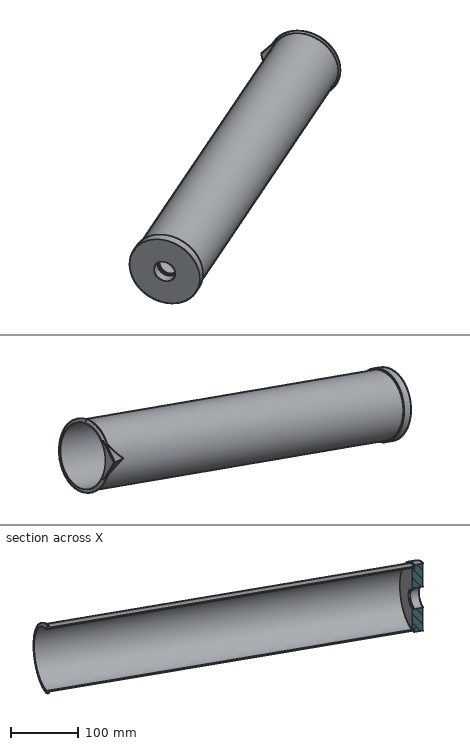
import cadquery as cq

LENGTH = 598.5
BOTTOM_Y = -LENGTH / 2
TOP_Y = LENGTH / 2

TUBE_DIAMETER = 106.5
BORE_DIAMETER = 100.5
RIM_DIAMETER = 112.0
BEAD_RADIUS = (RIM_DIAMETER - TUBE_DIAMETER) / 2

SPOUT_REACH = 69.75
SPOUT_ROOT = 45.0
SPOUT_LIP = 2.5
SPOUT_DROP = 30.5
SPOUT_FLARE = 1.2

CAP_DIAMETER = 111.5
CAP_HEIGHT = 14.0
PLUG_DIAMETER = 99.5
PLUG_HEIGHT = 4.0
HOLE_DIAMETER = 33.5
INNER_HOLE_DIAMETER = 29.0
HOLE_DEPTH = 15.0


def disc(diameter, start_y, height):
    """Cylinder around the Y axis, running from start_y towards +Y."""
    axis_start = cq.Vector(0, start_y, 0)
    return cq.Workplane(cq.Solid.makeCylinder(diameter / 2, height, axis_start, cq.Vector(0, 1, 0)))


def make_spout():
    """Pyramid below a thin lip; its ridge slopes from the tip down to the tube wall."""
    drop_per_reach = SPOUT_DROP / (SPOUT_REACH - TUBE_DIAMETER / 2)
    length = SPOUT_REACH - SPOUT_ROOT
    half_width = length * SPOUT_FLARE
    lip_y = TOP_Y - SPOUT_LIP
    tip = cq.Vector(-SPOUT_REACH, lip_y, 0)
    foot = cq.Vector(-SPOUT_ROOT, lip_y - length * drop_per_reach, 0)
    left = cq.Vector(-SPOUT_ROOT, lip_y, half_width)
    right = cq.Vector(-SPOUT_ROOT, lip_y, -half_width)
    triangles = [(tip, left, right), (tip, foot, left), (tip, right, foot), (foot, right, left)]
    faces = [cq.Face.makeFromWires(cq.Wire.makePolygon(corners, close=True)) for corners in triangles]
    pyramid = cq.Workplane(cq.Solid.makeSolid(cq.Shell.makeShell(faces)))
    lip = cq.Workplane(cq.Solid.extrudeLinear(faces[0].outerWire(), [], cq.Vector(0, SPOUT_LIP, 0)))
    return pyramid.union(lip)


def make_bead():
    """Round bead that follows the rim, centred on the outer face of the tube wall."""
    centre = cq.Vector(0, TOP_Y - BEAD_RADIUS, 0)
    return cq.Workplane(cq.Solid.makeTorus(TUBE_DIAMETER / 2, BEAD_RADIUS, centre, cq.Vector(0, 1, 0)))


def make_tube():
    """Open tube with a beaded rim and a spout, standing on the cap."""
    tube_start = BOTTOM_Y + CAP_HEIGHT
    tube_length = LENGTH - CAP_HEIGHT
    wall = disc(TUBE_DIAMETER, tube_start, tube_length)
    bore = disc(BORE_DIAMETER, tube_start, tube_length)
    return wall.union(make_bead()).union(make_spout()).cut(bore)


def make_cap():
    """Disc with a plug that enters the bore, and a stepped hole through both."""
    total_height = CAP_HEIGHT + PLUG_HEIGHT
    cap = disc(CAP_DIAMETER, BOTTOM_Y, CAP_HEIGHT)
    plug = disc(PLUG_DIAMETER, BOTTOM_Y, total_height)
    hole = disc(HOLE_DIAMETER, BOTTOM_Y, HOLE_DEPTH)
    inner_hole = disc(INNER_HOLE_DIAMETER, BOTTOM_Y, total_height)
    return cap.union(plug).cut(hole).cut(inner_hole)


tube = make_tube()
cap = make_cap()
result = cq.Compound.makeCompound([tube.val(), cap.val()])